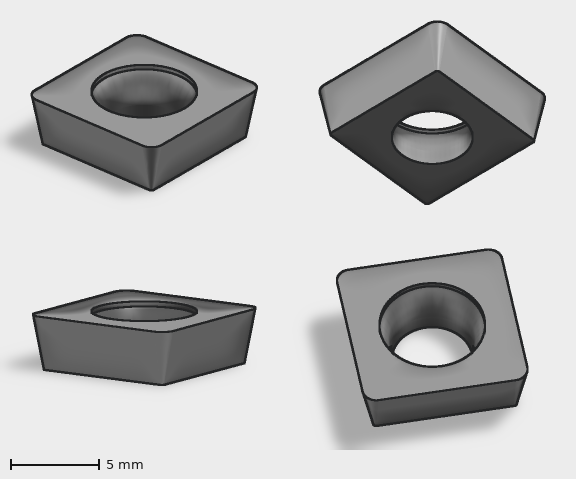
import cadquery as cq
import math

side = 9.53
thickness = 3.18
corner_radius = 0.8
relief_angle = 11.0

mouth_diameter = 6.0
bore_diameter = 4.59
mouth_depth = 0.3
seat_radius = 3.0


def tapered_body():
    """Square block, widest at the top; the corner radii shrink with the taper."""
    outline = cq.Sketch().rect(side, side).vertices().fillet(corner_radius)
    return (
        cq.Workplane("XY")
        .workplane(offset=thickness)
        .placeSketch(outline)
        .extrude(-thickness, taper=relief_angle)
    )


def screw_hole():
    """Revolved cutter: straight mouth, flared seat, then the bore."""
    mouth_radius = mouth_diameter / 2
    bore_radius = bore_diameter / 2
    seat_top = thickness - mouth_depth
    arc_center_x = bore_radius + seat_radius
    seat_angle = math.acos((arc_center_x - mouth_radius) / seat_radius)
    seat_bottom = seat_top - seat_radius * math.sin(seat_angle)
    mid_point = (
        arc_center_x - seat_radius * math.cos(seat_angle / 2),
        seat_bottom + seat_radius * math.sin(seat_angle / 2),
    )
    return (
        cq.Workplane("XZ")
        .lineTo(bore_radius, 0)
        .lineTo(bore_radius, seat_bottom)
        .threePointArc(mid_point, (mouth_radius, seat_top))
        .lineTo(mouth_radius, thickness)
        .lineTo(0, thickness)
        .close()
        .revolve(360, (0, 0), (0, 1))
    )


result = tapered_body().cut(screw_hole())